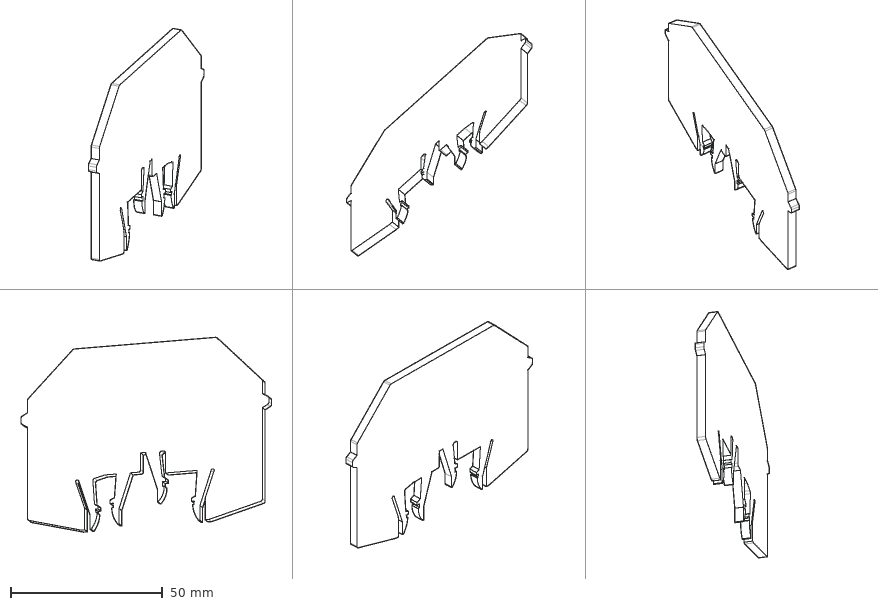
import cadquery as cq

thickness = 3.0
height = 62.0
half_width = 42.95

body_half = 40.7
bevel = 16.0
corner_radius = 0.9
side_bottom_z = 4.9
foot_y = 22.2

tab_z = 39.1
tab_root_height = 4.9
tab_tip_height = 2.3

slot_wall_y = 20.9
slot_bend_z = 7.4
slot_outer_top = (24.0, 16.5)
slot_crown = (23.5, 17.2)
slot_inner_top = (22.9, 16.7)

outer_back_y = 19.1
outer_back_bend_z = 5.0
outer_tooth = (16.15, 6.7)

inner_back_y = 8.9
inner_back_bend_z = 6.3
inner_tooth = (12.1, 8.25)
upper_back_y = -4.3
upper_back_bend_z = 11.8
upper_tooth = (-7.2, 14.3)

low_roof_z = 17.1
middle_roof_z = 18.1
high_roof_z = 24.65
left_opening_y = 18.0
roof_slope_end_y = 13.8
inner_latch_front_y = 10.0
inner_latch_rear_y = 5.0
step_y = 1.5
upper_latch_rear_y = -0.2
upper_latch_front_y = -5.0
right_wall_y = -7.1
opening_fillet = 0.8

tooth_height = 1.1


def latch_front(tooth, facing, root, undercut, notch, lip, belly, tip):
    """Front profile of a latch, from its nose tip up to the root above its tooth.

    tooth is the lower outer corner of the tooth and facing the Y direction it points in.
    The other pairs give the setback behind that corner and the height relative to it.
    Returns the nose tip, the nose arc's middle and end, and the points above it.
    """
    def place(setback, rise):
        return (tooth[0] - facing * setback, tooth[1] + rise)

    nose = [place(*tip), place(*belly), place(*lip)]
    teeth = [
        place(*notch),
        place(undercut, 0),
        tooth,
        place(0, tooth_height),
        place(*root),
    ]
    return nose, teeth


def climb(outline, latch):
    """Trace a latch front from the nose tip upwards."""
    nose, teeth = latch
    outline = outline.lineTo(*nose[0]).threePointArc(nose[1], nose[2])
    for point in teeth:
        outline = outline.lineTo(*point)
    return outline


def descend(outline, latch):
    """Trace a latch front from the tooth root downwards."""
    nose, teeth = latch
    for point in reversed(teeth):
        outline = outline.lineTo(*point)
    return outline.lineTo(*nose[2]).threePointArc(nose[1], nose[0])


def mirrored(point):
    return (-point[0], point[1])


def outer_latch(side):
    return latch_front(
        (side * outer_tooth[0], outer_tooth[1]), -side,
        root=(1.3, 1.7), undercut=0.95, notch=(0.8, -1.1), lip=(0.35, -1.2),
        belly=(0.95, -4.0), tip=(2.4, -outer_tooth[1]),
    )


inner_latch = latch_front(
    inner_tooth, 1,
    root=(1.55, 1.9), undercut=1.1, notch=(1.1, -1.3), lip=(0.6, -1.6),
    belly=(1.2, -4.7), tip=(2.7, -7.2),
)
upper_latch = latch_front(
    upper_tooth, -1,
    root=(1.3, 1.9), undercut=1.1, notch=(1.1, -1.55), lip=(0.5, -1.55),
    belly=(1.1, -4.6), tip=(2.7, -6.8),
)


def plate():
    bevel_y = body_half - bevel
    bevel_z = height - bevel
    tab_edges = [
        (body_half, tab_z + tab_root_height / 2),
        (half_width, tab_z + tab_tip_height / 2),
        (half_width, tab_z - tab_tip_height / 2),
        (body_half, tab_z - tab_root_height / 2),
    ]
    side = [(bevel_y, height), (body_half, bevel_z)] + tab_edges
    side += [(body_half, side_bottom_z), (foot_y, 0), (slot_wall_y, 0), (slot_wall_y, slot_bend_z)]

    outline = cq.Workplane("YZ").polyline(side).lineTo(*slot_outer_top)
    outline = outline.threePointArc(slot_crown, slot_inner_top)

    outline = outline.lineTo(outer_back_y, outer_back_bend_z).lineTo(outer_back_y, 0)
    outline = climb(outline, outer_latch(1))

    outline = outline.lineTo(left_opening_y, low_roof_z)
    outline = outline.lineTo(roof_slope_end_y, middle_roof_z)
    outline = outline.lineTo(inner_latch_front_y, middle_roof_z)
    outline = descend(outline, inner_latch)
    outline = outline.lineTo(inner_back_y, inner_latch[0][0][1])
    outline = outline.lineTo(inner_back_y, inner_back_bend_z)

    outline = outline.lineTo(inner_latch_rear_y, middle_roof_z)
    outline = outline.lineTo(step_y, middle_roof_z).lineTo(step_y, high_roof_z)
    outline = outline.lineTo(upper_latch_rear_y, high_roof_z)
    outline = outline.lineTo(upper_back_y, upper_back_bend_z)
    outline = outline.lineTo(upper_back_y, upper_latch[0][0][1])
    outline = climb(outline, upper_latch)

    outline = outline.lineTo(upper_latch_front_y, high_roof_z)
    outline = outline.lineTo(right_wall_y, high_roof_z).lineTo(right_wall_y, low_roof_z)
    outline = outline.lineTo(-left_opening_y, low_roof_z)

    outline = descend(outline, outer_latch(-1))
    outline = outline.lineTo(-outer_back_y, 0).lineTo(-outer_back_y, outer_back_bend_z)
    outline = outline.lineTo(*mirrored(slot_inner_top))
    outline = outline.threePointArc(mirrored(slot_crown), mirrored(slot_outer_top))
    for point in reversed(side):
        outline = outline.lineTo(*mirrored(point))
    return outline.close().extrude(thickness / 2, both=True)


def round_corners(solid, corners, radius):
    """Round the edges along X that pass through the given (Y, Z) corners."""
    for y, z in corners:
        edge = cq.selectors.NearestToPointSelector((0, y, z))
        solid = solid.edges("|X").edges(edge).fillet(radius)
    return solid


result = plate()
for direction in (1, -1):
    body_corners = [
        (direction * (body_half - bevel), height),
        (direction * body_half, height - bevel),
        (direction * body_half, side_bottom_z),
        (direction * half_width, tab_z + tab_tip_height / 2),
        (direction * half_width, tab_z - tab_tip_height / 2),
    ]
    result = round_corners(result, body_corners, corner_radius)
opening_corners = [
    (left_opening_y, low_roof_z),
    (step_y, middle_roof_z),
    (upper_latch_front_y, high_roof_z),
    (right_wall_y, high_roof_z),
]
result = round_corners(result, opening_corners, opening_fillet)